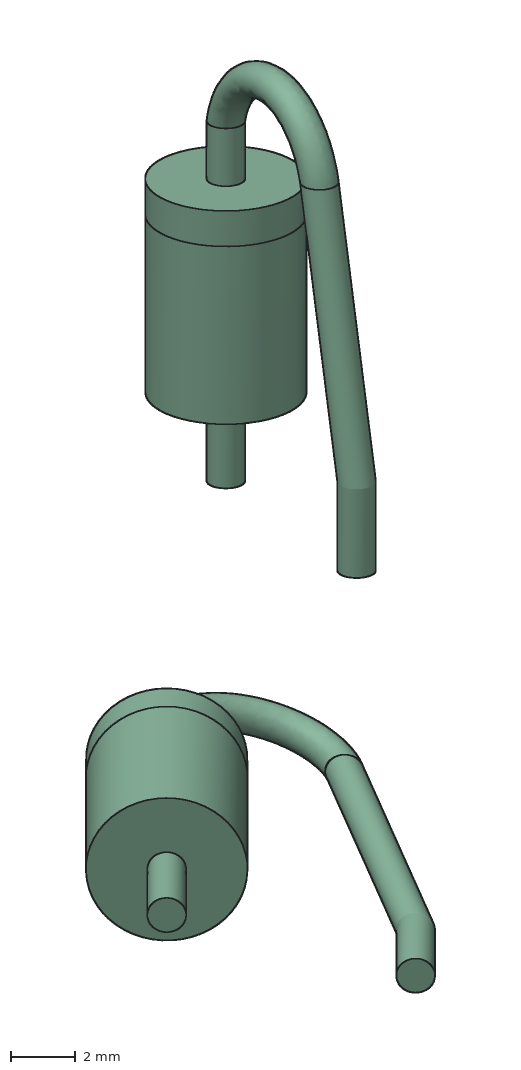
import cadquery as cq
import math

wire_diameter = 1.2
body_diameter = 5.0
lead_pitch = 7.99
lead_end_length = 3.0
case_height = 6.01
cap_height = 1.2
total_height = 15.02
bend_bottom = 12.17
bend_center_x = 2.87
bend_end = 12.25
bend_thickness = 1.17

cap_bottom = lead_end_length + case_height
cap_top = cap_bottom + cap_height
bend_crest = total_height - bend_thickness / 2
bend_rise = bend_crest - bend_bottom
bend_radius = (bend_center_x**2 + bend_rise**2) / (2 * bend_rise)
bend_center_z = bend_crest - bend_radius
bend_span = bend_center_x + math.sqrt(bend_radius**2 - (bend_end - bend_center_z) ** 2)


def cylinder(diameter, height, bottom, x=0):
    """Upright cylinder standing at the given X and bottom height."""
    return cq.Workplane("XY", origin=(x, 0, bottom)).circle(diameter / 2).extrude(height)


def wire_section(x, z):
    """Horizontal wire cross-section centred at X and Z."""
    return cq.Workplane("XY", origin=(x, 0, z)).circle(wire_diameter / 2)


def make_case():
    return cylinder(body_diameter, case_height, lead_end_length)


def make_cap():
    return cylinder(body_diameter, cap_height, cap_bottom)


def make_lower_lead():
    return cylinder(wire_diameter, lead_end_length, 0)


def block_above(bottom, left, right):
    """Block spanning left to right in X, from the given bottom up to the top of the wire."""
    return cq.Workplane("XY").box(
        right - left, wire_diameter, total_height - bottom, centered=(False, True, False)
    ).translate((left, 0, bottom))


def make_bend():
    """Oval wire ring about a Y axis, kept above a horizontal cut at each end."""
    ring = (
        cq.Workplane("XY", origin=(bend_center_x, 0, bend_center_z))
        .center(bend_radius, 0)
        .ellipse(bend_thickness / 2, wire_diameter / 2)
        .revolve(360, (-bend_radius, 0), (-bend_radius, 1))
    )
    reach = bend_radius + wire_diameter
    post_side = block_above(bend_bottom, bend_center_x - reach, bend_center_x)
    slope_side = block_above(bend_end, bend_center_x, bend_center_x + reach)
    return ring.intersect(post_side.union(slope_side))


def make_return_lead():
    """Wire rising from the cap, bending over and running down beside the case."""
    post = cylinder(wire_diameter, bend_bottom - cap_top, cap_top)
    slope_path = (
        cq.Workplane("XZ")
        .moveTo(lead_pitch, lead_end_length)
        .lineTo(bend_span, bend_end)
    )
    slope = wire_section(lead_pitch, lead_end_length).sweep(slope_path)
    end = cylinder(wire_diameter, lead_end_length, 0, lead_pitch)
    return end.union(slope).union(make_bend()).union(post)


case = make_case()
cap = make_cap()
lower_lead = make_lower_lead()
return_lead = make_return_lead()

result = cq.Compound.makeCompound(
    [case.val(), cap.val(), lower_lead.val(), *return_lead.solids().vals()]
)